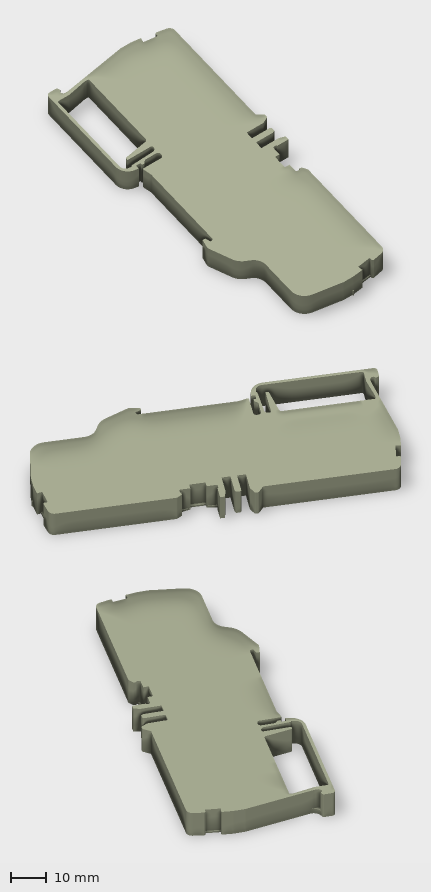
import cadquery as cq
import math

thickness = 8.0
body_length = 105.1
overall_length = 105.4
ridge_top = 44.9
top_edge = 42.8
raised_bottom = 12.8
low_bottom = 6.3
wall = 1.0

ledge_height = 0.5
ear_ledge_height = 1.6

flank_top = 30.0
flank_bottom = 26.6
flank_slope = 0.17
shoulder_radius = 1.9
heel_radius = 4.8

recess_top = 37.6
recess_bottom = 33.1
recess_rim = 33.4
recess_depth_top = 2.6
recess_depth_bottom = 2.0
recess_ledge_width = 0.4

slot_floor = 36.9
left_slot = (45.5, 48.1)
right_slot = (50.0, 52.5)
post_top = 43.5
post_taper = 0.3

bay_middle = 59.7
bay_half_width = 5.2
bay_undercut = 0.3
bay_floor = 39.6
groove_half_width = 2.3
groove_floor = 38.0
groove_ledge_top = 38.8

foot_left = 0.8
foot_right = 37.0
foot_radius = 4.2
ear_top = 3.7
ear_ridge = (1.9, 4.1)
leg_outer = 3.6
spring_slot = (36.4, 38.6)
spring_slot_top = 13.0
spring_slot_radius = 1.0


def flank_x(y):
    """Distance of the slanting left flank from the left end at height y."""
    return flank_slope * (flank_bottom - y)


def mirrored(points, middle):
    """Points mirrored about a vertical line, in reverse order."""
    return [(2 * middle - x, y, *radius) for x, y, *radius in reversed(points)]


def prism(points, height):
    """Extrude a closed outline of (x, y) or (x, y, corner radius) points."""
    corners = []
    for i, (x, y, *radius) in enumerate(points):
        r = radius[0] if radius else 0
        if r == 0:
            corners.append(((x, y),))
            continue
        before = points[i - 1]
        after = points[(i + 1) % len(points)]
        to_before = math.atan2(before[1] - y, before[0] - x)
        to_after = math.atan2(after[1] - y, after[0] - x)
        half_turn = math.remainder(to_after - to_before, 2 * math.pi) / 2
        half_angle = abs(half_turn)
        bisector = to_before + half_turn
        tangent = r / math.tan(half_angle)
        to_arc = r / math.sin(half_angle) - r
        corners.append((
            (x + tangent * math.cos(to_before), y + tangent * math.sin(to_before)),
            (x + to_arc * math.cos(bisector), y + to_arc * math.sin(bisector)),
            (x + tangent * math.cos(to_after), y + tangent * math.sin(to_after)),
        ))
    sketch = cq.Workplane("XY").moveTo(*corners[0][-1])
    for corner in corners[1:] + corners[:1]:
        sketch = sketch.lineTo(*corner[0])
        if len(corner) == 3:
            sketch = sketch.threePointArc(corner[1], corner[2])
    return sketch.close().extrude(height)


def end_profile():
    """Left end, from the flank up to the rounded shoulder."""
    return [
        (0, flank_bottom),
        (0, flank_top),
        (0.4, recess_rim),
        (recess_depth_bottom, recess_bottom),
        (recess_depth_top, recess_top),
        (1.6, recess_top),
        (1.4, 38.2),
        (2.3, top_edge, shoulder_radius),
    ]


def slots_profile():
    """Ridge, slot, middle post, slot and second ridge, left to right."""
    return [
        (41.7, top_edge),
        (43.4, ridge_top, 0.5),
        (44.5, ridge_top, 0.3),
        (left_slot[0], top_edge),
        (left_slot[0], slot_floor),
        (left_slot[1], slot_floor),
        (left_slot[1], post_top, 0.5),
        (right_slot[0] - post_taper, post_top),
        (right_slot[0], top_edge),
        (right_slot[0], slot_floor),
        (right_slot[1], slot_floor),
        (right_slot[1], top_edge),
        (53.1, ridge_top),
        (bay_middle - bay_half_width, ridge_top),
    ]


def bay_profile():
    """Marker bay with undercut corners and a groove in its floor."""
    undercut_top = 40.9
    wall_x = bay_middle - bay_half_width
    groove_x = bay_middle - groove_half_width
    left_half = [
        (wall_x, undercut_top),
        (wall_x - bay_undercut, undercut_top),
        (wall_x - bay_undercut, bay_floor, 0.4),
        (groove_x, bay_floor),
        (groove_x, groove_floor),
    ]
    lead_in = [
        (bay_middle + bay_half_width, 41.7),
        (66.4, top_edge, 0.7),
    ]
    return left_half + mirrored(left_half, bay_middle) + lead_in


def hook_profile():
    """Rail hook below the bottom edge, right to left."""
    return [
        (84.4, raised_bottom, 4.3),
        (81.6, 7.1, 5.7),
        (72.4, 3.2, 1.3),
        (69.2, 3.8),
        (69.2, 4.7),
        (70.9, 5.3),
        (70.9, low_bottom, 0.6),
    ]


def foot_profile():
    """Spring slot, latch barbs and the outside of the foot frame, right to left."""
    return [
        (41.6, low_bottom),
        (spring_slot[1], 5.6, 0.3),
        (spring_slot[1], spring_slot_top, spring_slot_radius),
        (spring_slot[0], spring_slot_top, spring_slot_radius),
        (spring_slot[0], 8.1),
        (37.3, 7.2),
        (37.3, 6.3),
        (36.6, 6.3),
        (36.6, 4.8),
        (37.8, 4.8),
        (foot_right, 0, foot_radius),
        (foot_left, 0, 1.1),
        (foot_left, ear_top, 0.4),
        ear_ridge,
        (2.4, 3.6),
        (leg_outer, 3.7, 1.0),
        (leg_outer, flank_bottom - leg_outer / flank_slope),
    ]


def housing():
    heel = [(flank_x(raised_bottom), raised_bottom, heel_radius)]
    right_end = mirrored(heel + end_profile(), body_length / 2)
    outline = (
        end_profile() + slots_profile() + bay_profile() + right_end
        + hook_profile() + foot_profile()
    )
    return prism(outline, thickness)


def foot_window():
    """Opening inside the foot frame, around the finger hanging from its top."""
    finger_right = 33.5
    outline = [
        (3.6, raised_bottom, 0.4),
        (31.1, raised_bottom, 0.7),
        (32.6, 4.2, 0.3),
        (finger_right, 4.1),
        (finger_right, raised_bottom, 0.5),
        (35.3, raised_bottom, 1.3),
        (35.7, 3.8),
        (36.1, 3.5),
        (35.6, wall, 2.0),
        (4.8, wall, 0.4),
        (4.8, 5.2),
        (3.6, 11.4),
    ]
    return prism(outline, thickness)


def recess_ledge():
    """Thin ledge at the foot of the left end recess."""
    outline = [
        (recess_depth_bottom - recess_ledge_width, recess_bottom),
        (recess_depth_top - recess_ledge_width, recess_top),
        (recess_depth_top, recess_top),
        (recess_depth_bottom, recess_bottom),
    ]
    return prism(outline, ledge_height)


def bay_ledge():
    """Thin ledge filling the bay corners and the lower part of the groove."""
    corner_top = 40.4
    corner_x = bay_middle - bay_half_width - bay_undercut
    groove_x = bay_middle - groove_half_width
    left_half = [
        (corner_x, groove_floor),
        (corner_x, corner_top),
        (groove_x, bay_floor),
        (groove_x, groove_ledge_top),
    ]
    return prism(left_half + mirrored(left_half, bay_middle), ledge_height)


def ear_ledge():
    """Concave web between the ear of the foot and the slanting leg."""
    web_top = 6.5
    web_bottom = 3.4
    leg_inside = leg_outer + 0.4
    web = (
        cq.Workplane("XY")
        .moveTo(*ear_ridge)
        .threePointArc((3.0, 5.0), (flank_x(web_top), web_top))
        .lineTo(leg_inside, web_bottom)
        .lineTo(ear_ridge[0], web_bottom)
        .close()
    )
    return web.extrude(ear_ledge_height)


def end_tab():
    """Small tab low on the right end."""
    tab_height = 2.0
    tab_root = body_length - 1.1
    tab_bottom = 29.5
    tab_top = 29.9
    outline = [
        (tab_root, tab_bottom),
        (overall_length, tab_bottom),
        (overall_length, tab_top),
        (tab_root, tab_top),
    ]
    return prism(outline, tab_height)


left_ledge = recess_ledge()
right_ledge = left_ledge.mirror("YZ", (body_length / 2, 0, 0))

result = housing().cut(foot_window())
for addition in (left_ledge, right_ledge, bay_ledge(), ear_ledge(), end_tab()):
    result = result.union(addition)